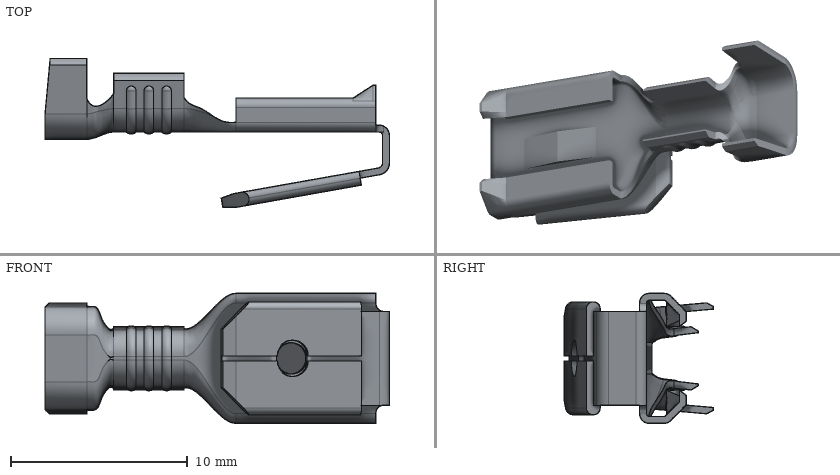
import cadquery as cq
import math

stock = 0.40

insulation_end = 2.375
wire_start = 3.885
wire_length = 4.0
wire_end = wire_start + wire_length
receptacle_start = 10.81
receptacle_end = 18.74
terminal_end = 19.51

insulation_floor = -0.41
insulation_flat = 1.33
insulation_radius = 1.58
insulation_lean = 5.0
insulation_top = 4.18
insulation_tip = (0.38, 0.20)
insulation_rake_start = 1.03
insulation_rake = 0.29

wire_floor = 0.0
wire_flat = 0.10
wire_radius = 1.515
wire_lean = 7.0
wire_top = 3.34
wire_tip = (0.42, 0.26)

rib_count = 3
rib_pitch = 1.0
rib_radius = 0.39
rib_height = 0.11
rib_top = 2.64

receptacle_half_width = 3.685
receptacle_height = 1.935
receptacle_radius = 0.55
lip_turn = 90.0
lip_end = 1.80

flare_start = 17.45
flare_mouth_start = 18.58
flare_top = 2.66
flare_turn = 45.0
flare_crest_end = 2.10

detent_start = 12.48
detent_end = 17.06
detent_half_width = 0.90
detent_depth = 0.32

strip_half_width = 2.66
floor_bend_radius = 0.60
tab_bend_radius = 0.69
strip_fillet = 0.44

tab_angle = 10.05
tab_root = (17.78, -2.22)
tab_length = 7.95
tab_half_width = 3.20
tab_round = 0.99 * stock
tab_corner = 1.55
tab_bevel_length = 0.75
tab_bevel_angle = tab_angle
seam_width = 0.29
tab_hole_x = 13.90
tab_hole_radius = 0.88

loft_top = 2.2
loft_sections = 7
insulation_narrowing = (2.80, 3.65)
insulation_trim = [(insulation_end, 1.90), (2.98, 1.47), (3.30, 1.60), (wire_start, 2.17)]
receptacle_trim = [(wire_end, 1.95), (8.33, 1.54), (8.77, 1.37), (9.65, 0.82), (receptacle_start, 0.57)]


def u_points(floor, flat, radius, lean, top, tip=(0.0, 0.0)):
    """Half of a U profile: floor end, arc middle, arc end, then arm points, as (y, z)."""
    angle = math.radians(lean)
    middle = (math.pi / 2 - angle) / 2
    arc_middle = (floor + radius * (1 - math.cos(middle)), flat + radius * math.sin(middle))
    arc_end = (floor + radius * (1 - math.sin(angle)), flat + radius * math.cos(angle))
    tip_length, tip_depth = tip
    shoulder_y = top - tip_length
    shoulder = (shoulder_y, arc_end[1] + (shoulder_y - arc_end[0]) * math.tan(angle))
    points = [(floor, flat), arc_middle, arc_end, shoulder]
    if tip_length > 0:
        points.append((top, shoulder[1] - tip_depth))
    return points


def mirrored(point):
    """Point on the other side of the Z = 0 symmetry plane."""
    return (point[0], -point[1])


def u_section(x, floor, flat, radius, lean, top, tip=(0.0, 0.0)):
    """Closed U profile of sheet thickness in the plane at x."""
    outer = u_points(floor, flat, radius, lean, top, tip)
    inner = u_points(floor + stock, flat, radius - stock, lean, top)
    profile = cq.Workplane("YZ", origin=(x, 0, 0)).moveTo(*outer[-1])
    for point in reversed(outer[2:-1]):
        profile = profile.lineTo(*point)
    profile = profile.threePointArc(outer[1], outer[0])
    profile = profile.lineTo(*mirrored(outer[0]))
    profile = profile.threePointArc(mirrored(outer[1]), mirrored(outer[2]))
    for point in outer[3:]:
        profile = profile.lineTo(*mirrored(point))
    profile = profile.lineTo(*mirrored(inner[3])).lineTo(*mirrored(inner[2]))
    profile = profile.threePointArc(mirrored(inner[1]), mirrored(inner[0]))
    profile = profile.lineTo(*inner[0]).threePointArc(inner[1], inner[2])
    return profile.lineTo(*inner[3]).close()


def prism(points, half_width):
    """Polygon in the XY plane extruded to both sides of Z = 0."""
    return cq.Workplane("XY").polyline(points).close().extrude(half_width, both=True)


def block(x_range, y_range, z_range):
    size = [high - low for low, high in (x_range, y_range, z_range)]
    origin = (x_range[0], y_range[0], z_range[0])
    return cq.Workplane("XY", origin=origin).box(*size, centered=False)


def ease(x, start, end):
    """Smooth step from 0 at start to 1 at end."""
    t = min(max((x - start) / (end - start), 0.0), 1.0)
    return t * t * (3 - 2 * t)


def blend(first, second, share):
    return first + (second - first) * share


def insulation_barrel():
    barrel = u_section(
        0, insulation_floor, insulation_flat, insulation_radius,
        insulation_lean, insulation_top, insulation_tip,
    ).extrude(insulation_end)
    rake = [(0, insulation_rake_start), (insulation_rake, insulation_top), (0, insulation_top)]
    return barrel.cut(prism(rake, receptacle_half_width))


def wire_barrel():
    barrel = u_section(
        wire_start, wire_floor, wire_flat, wire_radius, wire_lean, wire_top, wire_tip,
    ).extrude(wire_length)
    wire_middle = wire_start + wire_length / 2
    for index in range(rib_count):
        barrel = barrel.union(rib(wire_middle + (index - (rib_count - 1) / 2) * rib_pitch))
    return barrel.cut(wire_cavity())


def rib(x):
    """Round bar bent around the barrel with ball ends, standing proud by the rib height."""
    depth = rib_radius - rib_height
    cap_length = math.sqrt(rib_radius**2 - depth**2)
    points = u_points(wire_floor + depth, wire_flat, wire_radius - depth, wire_lean, rib_top - cap_length)
    path = (
        cq.Workplane("YZ", origin=(x, 0, 0))
        .moveTo(*points[3])
        .lineTo(*points[2])
        .threePointArc(points[1], points[0])
        .lineTo(*mirrored(points[0]))
        .threePointArc(mirrored(points[1]), mirrored(points[2]))
        .lineTo(*mirrored(points[3]))
    )
    start_y, start_z = points[3]
    lean = math.radians(wire_lean)
    start_plane = cq.Plane(
        origin=(x, start_y, start_z), xDir=(1, 0, 0), normal=(0, -math.cos(lean), -math.sin(lean)),
    )
    bar = cq.Workplane(start_plane).circle(rib_radius).sweep(path)
    for end_z in (start_z, -start_z):
        bar = bar.union(cq.Workplane("XY", origin=(x, start_y, end_z)).sphere(rib_radius))
    return bar


def wire_cavity():
    inner = u_points(wire_floor + stock, wire_flat, wire_radius - stock, wire_lean, wire_top)
    profile = cq.Workplane("YZ", origin=(wire_start, 0, 0)).moveTo(*inner[3]).lineTo(*inner[2])
    profile = profile.threePointArc(inner[1], inner[0]).lineTo(*mirrored(inner[0]))
    profile = profile.threePointArc(mirrored(inner[1]), mirrored(inner[2]))
    return profile.lineTo(*mirrored(inner[3])).close().extrude(wire_length)


def lofted_channel(start, end, first, second, bend_range):
    """U channel whose (floor, flat, radius, lean) change smoothly from first to second."""
    channel = cq.Workplane("YZ")
    wires = []
    for index in range(loft_sections):
        x = blend(start, end, index / (loft_sections - 1))
        floor = blend(first[0], second[0], ease(x, start, end))
        share = ease(x, *bend_range)
        shape = [blend(a, b, share) for a, b in zip(first[1:], second[1:])]
        wires.append(u_section(x, floor, *shape, loft_top).wire().val())
    return channel.newObject([cq.Solid.makeLoft(wires, False)])


def above_curve(points):
    """Everything above a smooth curve through the (x, y) points, up to the wire barrel top."""
    profile = cq.Workplane("XY").moveTo(*points[0]).spline(points[1:], includeCurrent=True)
    profile = profile.lineTo(points[-1][0], wire_top).lineTo(points[0][0], wire_top).close()
    return profile.extrude(2 * receptacle_half_width, both=True)


def insulation_transition():
    channel = lofted_channel(
        insulation_end, wire_start,
        (insulation_floor, insulation_flat, insulation_radius, insulation_lean),
        (wire_floor, wire_flat, wire_radius, wire_lean),
        insulation_narrowing,
    )
    return channel.cut(above_curve(insulation_trim))


def receptacle_transition():
    channel = lofted_channel(
        wire_end, receptacle_start,
        (wire_floor, wire_flat, wire_radius, wire_lean),
        (0.0, receptacle_half_width - receptacle_radius, receptacle_radius, 0.0),
        (wire_end, receptacle_start),
    )
    return channel.cut(above_curve(receptacle_trim))


def receptacle():
    length_range = (receptacle_start, receptacle_end)
    inner_half_width = receptacle_half_width - stock
    body = block(
        length_range, (0, receptacle_height), (-receptacle_half_width, receptacle_half_width),
    ).edges("|X").fillet(receptacle_radius)
    cavity = block(
        length_range, (stock, receptacle_height - stock), (-inner_half_width, inner_half_width),
    ).edges("|X").fillet(receptacle_radius - stock)
    opening = block(length_range, (stock, receptacle_height), (-lip_end, lip_end))
    return body.cut(cavity).cut(opening)


def corner_point(radius, turn):
    """Point (y, z) on the upper +Z bend, turned by an angle in degrees from the wall to the lip."""
    angle = math.radians(turn)
    return (
        receptacle_height - receptacle_radius + radius * math.sin(angle),
        receptacle_half_width - receptacle_radius + radius * math.cos(angle),
    )


def flare():
    """Lip end on the +Z side, opening from a full bend with a flat lip to a half bend at the mouth."""
    inner_radius = receptacle_radius - stock
    middle_turn = (flare_turn + lip_turn) / 2
    root_outer = corner_point(receptacle_radius, flare_turn)
    root_inner = corner_point(inner_radius, flare_turn)

    turn = math.radians(flare_turn)
    rise = flare_top - root_outer[0]
    crest_outer = (flare_top, root_outer[1] - rise / math.tan(turn))
    crest_inner = (flare_top - stock, crest_outer[1] - stock * math.tan(turn / 2))
    inner_height = receptacle_height - stock

    flat_lip = (
        cq.Workplane("YZ", origin=(flare_start, 0, 0))
        .moveTo(*root_outer)
        .threePointArc(
            corner_point(receptacle_radius, middle_turn), corner_point(receptacle_radius, lip_turn),
        )
        .lineTo(receptacle_height, flare_crest_end)
        .lineTo(receptacle_height, lip_end)
        .lineTo(inner_height, lip_end)
        .lineTo(*corner_point(inner_radius, lip_turn))
        .threePointArc(corner_point(inner_radius, middle_turn), root_inner)
        .close()
    )
    open_lip = (
        cq.Workplane("YZ", origin=(flare_mouth_start, 0, 0))
        .moveTo(*root_outer)
        .lineTo(*crest_outer)
        .lineTo(flare_top, flare_crest_end)
        .lineTo(flare_top - stock, lip_end)
        .lineTo(flare_top - stock, (lip_end + crest_inner[1]) / 2)
        .lineTo(*crest_inner)
        .lineTo(*root_inner)
        .close()
    )
    opening_lip = cq.Solid.makeLoft([flat_lip.wire().val(), open_lip.wire().val()], True)
    mouth = open_lip.extrude(receptacle_end - flare_mouth_start)
    return mouth.union(cq.Workplane("XY").newObject([opening_lip]))


def flare_clearance():
    """Lip and outer half of the bend that the flare on the +Z side replaces."""
    center_y, center_z = corner_point(0, 0)
    beyond_bend = corner_point(2 * receptacle_radius, flare_turn)
    points = [(center_y, center_z), beyond_bend, (beyond_bend[0], 0), (center_y, 0)]
    plane = cq.Workplane("YZ", origin=(flare_start, 0, 0))
    return plane.polyline(points).close().extrude(receptacle_end - flare_start)


def detent(base):
    """Shallow V whose underside starts at the height base."""
    middle = (detent_start + detent_end) / 2
    points = [(detent_start, base), (middle, base + detent_depth), (detent_end, base)]
    return prism(points, detent_half_width)


def bent_strip(half_width):
    """Sheet from the floor around two bends, back to the root of the tab."""
    angle = math.radians(tab_angle)
    inner_x = terminal_end - stock
    floor_x = receptacle_end - stock
    root_x, root_y = tab_root
    inner_corner_y = root_y + (inner_x - root_x) * math.tan(angle)
    low_x = root_x + stock * math.sin(angle)
    low_y = root_y - stock * math.cos(angle)
    outer_corner_y = low_y + (terminal_end - low_x) * math.tan(angle)
    strip = prism(
        [
            (floor_x, 0), (inner_x, 0), (inner_x, inner_corner_y), (root_x, root_y),
            (low_x, low_y), (terminal_end, outer_corner_y), (terminal_end, stock), (floor_x, stock),
        ],
        half_width,
    )
    bends = [
        ((inner_x, 0), floor_bend_radius - stock),
        ((terminal_end, stock), floor_bend_radius),
        ((inner_x, inner_corner_y), tab_bend_radius - stock),
        ((terminal_end, outer_corner_y), tab_bend_radius),
    ]
    for corner, radius in bends:
        strip = strip.edges(cq.selectors.NearestToPointSelector((*corner, 0))).fillet(radius)
    return strip


def strip_corners():
    """Floor stretch that narrows to the strip through concave corners."""
    wide = strip_half_width + strip_fillet
    arc_end_x = receptacle_end + strip_fillet
    reach = strip_fillet * (1 - math.sqrt(0.5))
    arc_middle = (receptacle_end + reach, strip_half_width + reach)
    arc_end = (arc_end_x, strip_half_width)
    plan = cq.Workplane("XZ").moveTo(receptacle_end - stock, -wide).lineTo(receptacle_end, -wide)
    plan = plan.threePointArc(mirrored(arc_middle), mirrored(arc_end))
    plan = plan.lineTo(*arc_end).threePointArc(arc_middle, (receptacle_end, wide))
    plan = plan.lineTo(receptacle_end - stock, wide).close().extrude(-stock)
    return bent_strip(wide).intersect(plan)


def tab():
    """Tab with its length along local X from the strip and its thickness along local Y."""
    thickness = 2 * stock
    body = block((0, tab_length), (0, thickness), (-tab_half_width, tab_half_width))
    body = body.edges("|X").fillet(tab_round)
    body = body.intersect(tab_plan()).intersect(tab_side())
    seam = block((0, tab_length), (stock, thickness), (-seam_width / 2, seam_width / 2))
    hole_x = (tab_root[0] - tab_hole_x) / math.cos(math.radians(tab_angle))
    for hole_z, depth_start in ((0, 0), (-seam_width / 2, stock), (seam_width / 2, stock)):
        hole = (
            cq.Workplane("XZ", origin=(hole_x, depth_start, hole_z))
            .circle(tab_hole_radius)
            .extrude(depth_start - thickness)
        )
        body = body.cut(hole)
    angle = math.radians(tab_angle)
    placement = cq.Plane(
        origin=(*tab_root, 0), xDir=(-math.cos(angle), -math.sin(angle), 0), normal=(0, 0, 1),
    )
    return body.cut(seam).val().moved(cq.Location(placement))


def tab_plan():
    """Outline across the tab width, with the tip corners cut off."""
    tip_half_width = tab_half_width - tab_corner
    corner_x = tab_length - tab_corner
    return (
        cq.Workplane("XZ")
        .polyline([
            (0, -tab_half_width), (corner_x, -tab_half_width), (tab_length, -tip_half_width),
            (tab_length, tip_half_width), (corner_x, tab_half_width), (0, tab_half_width),
        ])
        .close()
        .extrude(-2 * stock)
    )


def tab_side():
    """Outline across the tab thickness, with both faces bevelled at the tip."""
    thickness = 2 * stock
    bevel_x = tab_length - tab_bevel_length
    bevel = tab_bevel_length * math.tan(math.radians(tab_bevel_angle))
    points = [
        (0, 0), (bevel_x, 0), (tab_length, bevel),
        (tab_length, thickness - bevel), (bevel_x, thickness), (0, thickness),
    ]
    return prism(points, tab_half_width)


result = (
    receptacle()
    .cut(flare_clearance())
    .cut(flare_clearance().mirror("XY"))
    .union(flare())
    .union(flare().mirror("XY"))
    .union(detent(stock))
    .cut(detent(0))
    .union(receptacle_transition())
    .union(wire_barrel())
    .union(insulation_transition())
    .union(insulation_barrel())
    .union(strip_corners())
    .union(bent_strip(strip_half_width))
    .union(cq.Workplane("XY").newObject([tab()]))
)